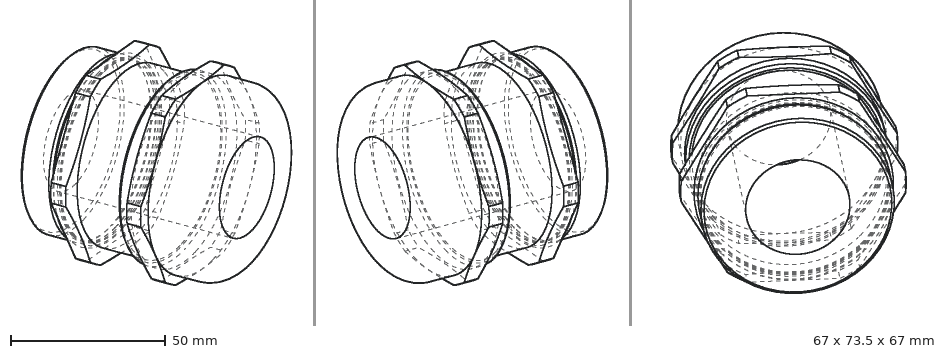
import cadquery as cq
import math


thread_end = 11.0
ring_start = 13.0
nut_start = 15.0
nut_end = 21.5
collar_start = 38.0
cap_nut_start = 43.0
cap_nut_end = 50.0
total_length = 67.0

bore_diameter = 34.0
thread_diameter = 63.0
groove_diameter = 61.16
ring_diameter = 65.0
body_diameter = 62.0
collar_diameter = 65.66
cap_diameter = 66.98

hex_sides = 6
across_flats = 67.0
corner_diameter = 73.46
hex_chamfer_angle = 15.0

thread_chamfer = (thread_diameter - groove_diameter) / 2
collar_chamfer = 1.0
cap_fillet = 8.0


def cylinder(start, end, diameter):
    """Round stretch of the gland between two positions on the X axis."""
    return cq.Workplane("YZ", origin=(start, 0, 0)).circle(diameter / 2).extrude(end - start)


def turned_profile(points):
    """Solid of revolution about X from (position, radius) points."""
    return cq.Workplane("XY").polyline(points).close().revolve(360, (0, 0, 0), (1, 0, 0))


def hexagon(start, end, chamfer_start):
    """Hexagon with flats facing +Z and -Z, turned corners and chamfered end faces."""
    across_corners = across_flats / math.cos(math.pi / hex_sides)
    prism = cq.Workplane("YZ", origin=(start, 0, 0)).polygon(hex_sides, across_corners).extrude(end - start)

    corner_radius = corner_diameter / 2
    face_radius = across_flats / 2
    chamfer_length = (corner_radius - face_radius) * math.tan(math.radians(hex_chamfer_angle))
    if chamfer_start:
        start_points = [(start, face_radius), (start + chamfer_length, corner_radius)]
    else:
        start_points = [(start, corner_radius)]
    end_points = [(end - chamfer_length, corner_radius), (end, face_radius)]
    envelope = turned_profile([(start, 0)] + start_points + end_points + [(end, 0)])
    return prism.intersect(envelope)


def threaded_end():
    """Chamfered thread cylinder followed by its run-out groove."""
    thread = cylinder(0, thread_end + thread_chamfer, thread_diameter)
    thread = thread.faces("<X or >X").chamfer(thread_chamfer)
    groove = cylinder(thread_end, nut_start, groove_diameter)
    return thread.union(groove)


def sealing_ring():
    """Round-section ring seated against the first hexagon."""
    section_radius = (nut_start - ring_start) / 2
    centre_x = (ring_start + nut_start) / 2
    centre_radius = ring_diameter / 2 - section_radius
    section = cq.Workplane("XY").moveTo(centre_x, centre_radius).circle(section_radius)
    return section.revolve(360, (0, 0, 0), (1, 0, 0))


def collar():
    """Round collar in front of the cap nut, chamfered towards the body."""
    return cylinder(collar_start, cap_nut_start, collar_diameter).faces("<X").chamfer(collar_chamfer)


def dome_cap():
    """Cap with a large rounding on its outer end."""
    return cylinder(cap_nut_start, total_length, cap_diameter).faces(">X").edges().fillet(cap_fillet)


result = (
    threaded_end()
    .union(sealing_ring())
    .union(hexagon(nut_start, nut_end, chamfer_start=False))
    .union(cylinder(nut_start, collar_start, body_diameter))
    .union(collar())
    .union(hexagon(cap_nut_start, cap_nut_end, chamfer_start=True))
    .union(dome_cap())
    .cut(cylinder(0, total_length, bore_diameter))
)